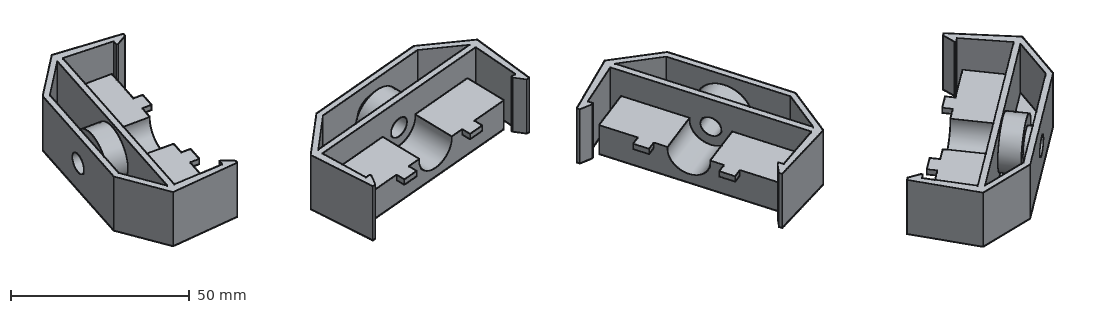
import cadquery as cq

width = 68.2
depth = 33.0
height = 20.0
wall = 2.0

front_half_width = 20.0
shoulder_y = 11.05
shelf_y = shoulder_y + wall
pocket_front_half_width = 19.4
pocket_back_half_width = 30.95
pocket_floor = wall

arm_root_half_width = 31.4
arm_ledge_half_width = 30.55
hook_half_width = 28.9
tip_inner_half_width = 31.0
tip_outer_half_width = 32.05
ledge_y = 29.0
hook_lip = 0.55

block_half_width = 28.0
block_back_y = 27.0
block_top = 10.7
trough_radius = 6.7
tab_width = 5.0
tab_spacing = 26.9
tab_back_y = 30.0
tab_thickness = 2.0

axis_z = height / 2
boss_radius = 8.7
boss_front_y = 4.4
collar_radius = 5.3
hole_radius = 3.3


def prism(half_outline, bottom, top):
    """Extrude a right-hand outline mirrored about the YZ plane."""
    mirrored = [(-x, y) for x, y in reversed(half_outline)]
    profile = cq.Workplane("XY").workplane(offset=bottom).polyline(half_outline + mirrored).close()
    return profile.extrude(top - bottom)


def cylinder_along_y(radius, start_y, end_y):
    """Cylinder on the common axis between two Y positions."""
    axis = cq.Vector(0, 1, 0)
    start = cq.Vector(0, start_y, axis_z)
    return cq.Workplane(cq.Solid.makeCylinder(radius, end_y - start_y, start, axis))


housing = prism(
    [
        (front_half_width, 0),
        (width / 2, shoulder_y),
        (tip_outer_half_width, depth),
        (tip_inner_half_width, depth),
        (hook_half_width, ledge_y + hook_lip),
        (hook_half_width, ledge_y),
        (arm_ledge_half_width, ledge_y),
        (arm_root_half_width, shelf_y),
    ],
    0,
    height,
)

pocket = prism(
    [(pocket_front_half_width, wall), (pocket_back_half_width, shoulder_y)],
    pocket_floor,
    height,
)

block = prism(
    [(block_half_width, shoulder_y), (block_half_width, block_back_y)],
    0,
    block_top,
)
for side in (-1, 1):
    tab = cq.Workplane("XY").box(
        tab_width, tab_back_y - shelf_y, tab_thickness, centered=(True, False, False)
    )
    block = block.union(tab.translate((side * tab_spacing / 2, shelf_y, block_top - tab_thickness)))
block = block.cut(cylinder_along_y(trough_radius, shelf_y, depth))

boss = cylinder_along_y(boss_radius, boss_front_y, shelf_y)
collar = cylinder_along_y(collar_radius, wall / 2, shelf_y)

result = (
    housing.cut(pocket)
    .union(block)
    .union(boss)
    .union(collar)
    .cut(cylinder_along_y(hole_radius, 0, depth))
)